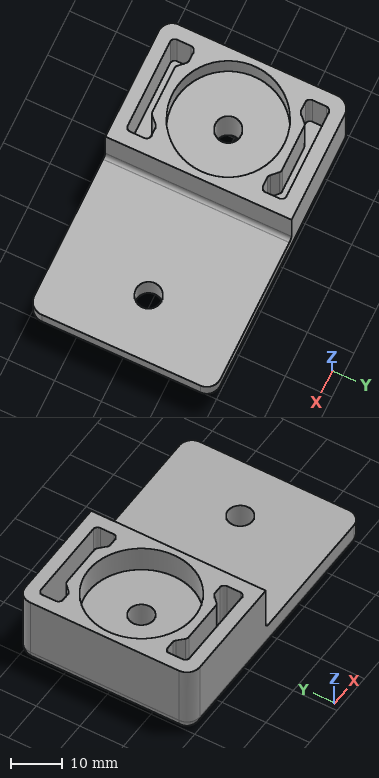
import cadquery as cq

length = 62.0
width = 40.0
block_height = 17.0
block_length = 27.0
plate_height = 6.5
edge_radius = 3.0
step_radius = 1.0

block_center_x = block_length / 2
pocket_diameter = 24.0
pocket_depth = 6.0
hole_diameter = 5.5
plate_hole_x = 49.5

slot_wall = 3.0
slot_length = block_length - 2 * slot_wall
slot_end_width = 5.0
slot_middle_width = 3.1
slot_end_length = 3.2
slot_slope = slot_end_width - slot_middle_width
slot_corner_radius = 1.0
slot_depth = 12.4

pad_length = 10.05
pad_width = 3.0
pad_gap = 0.25
pad_height = 0.2


def make_body():
    """L-shaped body with rounded vertical corners, base edge and inner step."""
    body = (
        cq.Workplane("XY")
        .box(length, width, block_height, centered=(False, True, False))
        .edges("|Z")
        .fillet(edge_radius)
        .faces("<Z")
        .edges()
        .fillet(edge_radius)
    )
    step = (
        cq.Workplane("XY", origin=(block_length, 0, plate_height))
        .box(length, 2 * width, block_height, centered=(False, True, False))
        .edges("|Y and <X and <Z")
        .fillet(step_radius)
    )
    return body.cut(step)


def make_slot():
    """Cutter for the +Y slot: wide at both ends and narrow beside the pocket."""
    half_length = slot_length / 2
    half_flare = half_length - slot_end_length
    half_middle = half_flare - slot_slope
    outer_y = width / 2 - slot_wall
    middle_y = outer_y - slot_middle_width
    end_y = outer_y - slot_end_width
    return (
        cq.Workplane("XY", origin=(block_center_x, 0, block_height))
        .polyline([
            (-half_length, outer_y),
            (half_length, outer_y),
            (half_length, end_y),
            (half_flare, end_y),
            (half_middle, middle_y),
            (-half_middle, middle_y),
            (-half_flare, end_y),
            (-half_length, end_y),
        ])
        .close()
        .extrude(-slot_depth)
        .edges("|Z")
        .fillet(slot_corner_radius)
    )


def make_pads():
    """Two pads side by side, centered under the base and sunk into it to join."""
    return (
        cq.Workplane("XY", origin=(length / 2, 0, -pad_height))
        .rarray(0.6, pad_width + pad_gap, 1, 2)
        .rect(pad_length, pad_width)
        .extrude(2 * pad_height)
    )


pocket = (
    cq.Workplane("XY", origin=(block_center_x, 0, block_height))
    .circle(pocket_diameter / 2)
    .extrude(-pocket_depth)
)
holes = (
    cq.Workplane("XY")
    .pushPoints([(block_center_x, 0), (plate_hole_x, 0)])
    .circle(hole_diameter / 2)
    .extrude(block_height)
)
slot = make_slot()

result = make_body().cut(pocket).cut(holes).cut(slot).cut(slot.mirror("XZ")).union(make_pads())